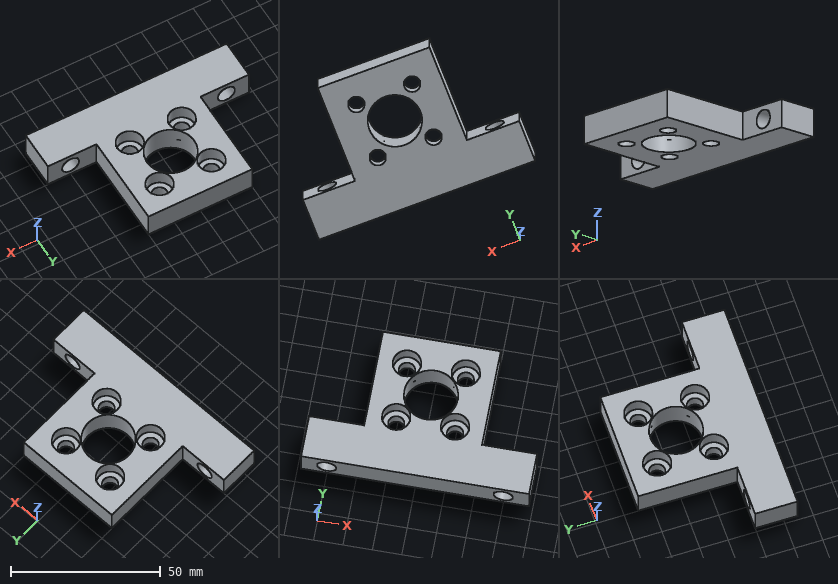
import cadquery as cq

bar_length = 77.5
total_depth = 50.0
thickness = 10.0
bar_depth = 15.0
plate_width = 40.1

bore_diameter = 18.1
bore_y = total_depth - plate_width / 2
screw_spacing = 20.0
screw_diameter = 5.5
counterbore_diameter = 9.5
counterbore_depth = 5.5

mount_diameter = 6.5
mount_spacing = 60.0


def make_body():
    """T-shaped block: front face on Y = 0, underside on Z = 0."""
    bar = cq.Workplane("XY").box(bar_length, bar_depth, thickness, centered=(True, False, False))
    plate = cq.Workplane("XY").box(plate_width, total_depth, thickness, centered=(True, False, False))
    return bar.union(plate)


def cut_bore_and_screw_holes(body):
    """Vertical bore, surrounded by four holes counterbored from the top."""
    top = cq.Workplane("XY", origin=(0, bore_y, thickness))
    bore = top.circle(bore_diameter / 2).extrude(-thickness)
    pattern = top.rect(screw_spacing, screw_spacing, forConstruction=True).vertices()
    screws = pattern.circle(screw_diameter / 2).extrude(-thickness)
    counterbores = pattern.circle(counterbore_diameter / 2).extrude(-counterbore_depth)
    return body.cut(bore).cut(screws).cut(counterbores)


def cut_mount_holes(body):
    """Two horizontal holes at mid-thickness through the ends of the bar."""
    half_spacing = mount_spacing / 2
    front = cq.Workplane("XZ", origin=(0, 0, thickness / 2))
    centres = [(-half_spacing, 0), (half_spacing, 0)]
    holes = front.pushPoints(centres).circle(mount_diameter / 2).extrude(-bar_depth)
    return body.cut(holes)


result = cut_mount_holes(cut_bore_and_screw_holes(make_body()))